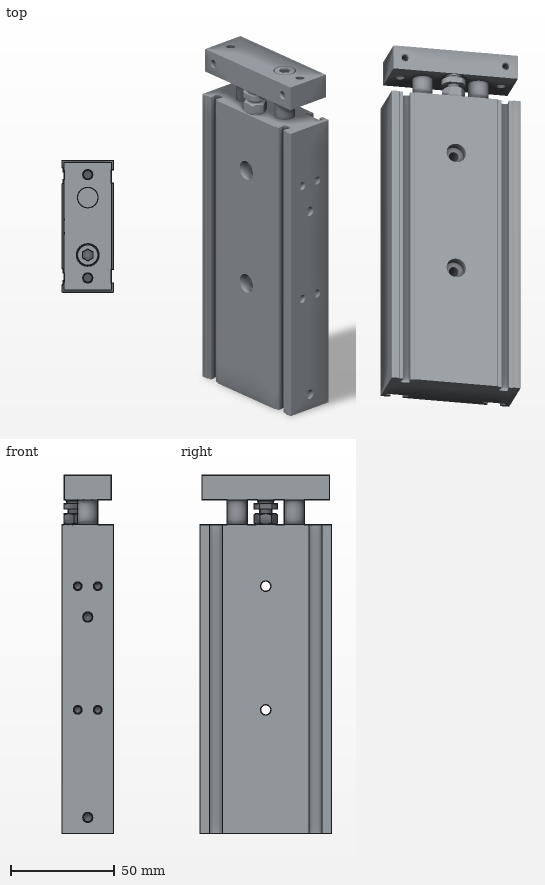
import cadquery as cq
import math

total_height = 174.0
housing_x = 25.0
housing_y = 64.0
housing_top = 150.0
corner_radius = 0.5

plate_x = 23.0
plate_y = 62.0
plate_thickness = 12.0
plate_bottom = total_height - plate_thickness

rod_diameter = 10.0
rod_offset = 14.0
rod_bore_diameter = 11.0
rod_bore_depth = 6.0
hex_socket_flats = 5.0
hex_socket_depth = 5.2

groove_y = 24.5
groove_recess_half_width = 4.0
groove_recess_depth = 0.5
groove_recess_taper = 0.3
groove_mouth_width = 3.7
groove_neck_depth = 3.0
groove_depth = 5.2
groove_width = 4.5
groove_floor_half_width = 0.5

t_slot_y = 24.2
t_slot_mouth_width = 6.5
t_slot_lip = 2.1
t_slot_inner_width = 10.8
t_slot_depth = 3.5

mount_levels = (60.0, 120.0)
mount_diameter = 4.9
mount_bore_diameter = 9.5
mount_bore_depth = 5.2

small_rim, small_core = 4.2, 3.3
large_rim, large_core = 4.9, 4.2
drill_point_angle = 118
side_hole_depth = 6.1
side_hole_x = 4.9
port_levels = (7.8, 105.1)
plate_hole_y = 25.0

adjuster_x = -6.6
nut_flats = 10.0
nut_top = 155.4
nut_face_diameter = 9.5
nut_chamfer_height = 0.78
stud_diameter = 6.0
head_bottom = 157.5
head_top = 160.0
head_diameter = 11.7
collar_step = 161.5
collar_diameter = 8.0
collar_neck_diameter = 7.3


def cylinder(diameter, bottom, top, x, y):
    return cq.Workplane("XY", origin=(x, y, bottom)).circle(diameter / 2).extrude(top - bottom)


def across_corners(flats):
    return flats / math.cos(math.pi / 6)


def hexagon(flats, bottom, top, x, y):
    """Hexagonal prism with two corners pointing along Y."""
    prism = cq.Workplane("XY").polygon(6, across_corners(flats)).extrude(top - bottom)
    return prism.rotate((0, 0, 0), (0, 0, 1), 90).translate((x, y, bottom))


def tapped_hole(rim, core, depth, mouth, inward):
    """Blind drilled hole with a 45 degree rim and a conical bottom, as a cutting tool."""
    rim_depth = (rim - core) / 2
    tip = depth + core / 2 / math.tan(math.radians(drill_point_angle / 2))
    outline = (
        cq.Workplane("XZ")
        .moveTo(0, 0)
        .lineTo(rim / 2, 0)
        .lineTo(core / 2, rim_depth)
        .lineTo(core / 2, depth)
        .lineTo(0, tip)
        .close()
    )
    tool = outline.revolve(360, (0, 0, 0), (0, 1, 0)).val()
    return tool.moved(cq.Plane(origin=mouth, normal=inward).location)


def sensor_groove(y):
    """Shallow flared recess, a narrow neck and a rounded channel along the full height."""
    face = -housing_x / 2
    mouth_half_width = groove_mouth_width / 2
    recess_floor = face + groove_recess_depth
    neck_end = face + groove_neck_depth
    groove_floor = face + groove_depth
    floor_half_width = groove_recess_half_width - groove_recess_taper
    bulge_half_width = groove_width / 2
    bulge_x = (neck_end + groove_floor) / 2
    return (
        cq.Workplane("XY")
        .moveTo(face, y - groove_recess_half_width)
        .lineTo(recess_floor, y - floor_half_width)
        .lineTo(recess_floor, y - mouth_half_width)
        .lineTo(neck_end, y - mouth_half_width)
        .threePointArc((bulge_x, y - bulge_half_width), (groove_floor, y - groove_floor_half_width))
        .lineTo(groove_floor, y + groove_floor_half_width)
        .threePointArc((bulge_x, y + bulge_half_width), (neck_end, y + mouth_half_width))
        .lineTo(recess_floor, y + mouth_half_width)
        .lineTo(recess_floor, y + floor_half_width)
        .lineTo(face, y + groove_recess_half_width)
        .close()
        .extrude(housing_top)
    )


def t_slot(y):
    face = housing_x / 2
    floor = face - t_slot_depth
    lip_inside = face - t_slot_lip
    base = cq.Workplane("XY")
    mouth = base.center((floor + face) / 2, y).rect(t_slot_depth, t_slot_mouth_width).extrude(housing_top)
    inside = (
        base.center((floor + lip_inside) / 2, y)
        .rect(lip_inside - floor, t_slot_inner_width)
        .extrude(housing_top)
    )
    return mouth.union(inside)


def make_housing_block():
    block = cq.Workplane("XY").rect(housing_x, housing_y).extrude(housing_top)
    block = block.edges("|Z").fillet(corner_radius)
    for side in (-1, 1):
        block = block.cut(sensor_groove(side * groove_y)).cut(t_slot(side * t_slot_y))

    for level in mount_levels:
        mount = cq.Workplane("YZ", origin=(-housing_x / 2, 0, level))
        block = block.cut(mount.circle(mount_diameter / 2).extrude(housing_x))
        block = block.cut(mount.circle(mount_bore_diameter / 2).extrude(mount_bore_depth))
        for x in (-side_hole_x, side_hole_x):
            mouth = (x, -housing_y / 2, level)
            block = block.cut(tapped_hole(small_rim, small_core, side_hole_depth, mouth, (0, 1, 0)))

    for level in port_levels:
        mouth = (0, -housing_y / 2, level)
        block = block.cut(tapped_hole(large_rim, large_core, side_hole_depth, mouth, (0, 1, 0)))
    return block


def make_lock_nut():
    """Hexagonal nut on the housing top, with its corners turned off at both ends."""
    rim_radius = across_corners(nut_flats) / 2
    end_radius = nut_face_diameter / 2
    envelope = (
        cq.Workplane("XZ")
        .moveTo(0, housing_top)
        .lineTo(end_radius, housing_top)
        .lineTo(rim_radius, housing_top + nut_chamfer_height)
        .lineTo(rim_radius, nut_top - nut_chamfer_height)
        .lineTo(end_radius, nut_top)
        .lineTo(0, nut_top)
        .close()
        .revolve(360, (0, 0, 0), (0, 1, 0))
        .translate((adjuster_x, 0, 0))
    )
    return hexagon(nut_flats, housing_top, nut_top, adjuster_x, 0).intersect(envelope)


def make_adjuster():
    head = cylinder(head_diameter, head_bottom, head_top, adjuster_x, 0)
    flats = (
        cq.Workplane("XY", origin=(adjuster_x, 0, head_bottom))
        .rect(nut_flats, head_diameter)
        .extrude(head_top - head_bottom)
    )
    stud = cylinder(stud_diameter, housing_top, head_top, adjuster_x, 0)
    neck = cylinder(collar_neck_diameter, head_top, plate_bottom, adjuster_x, 0)
    collar = cylinder(collar_diameter, collar_step, plate_bottom, adjuster_x, 0)
    return make_lock_nut().union(stud).union(head.intersect(flats)).union(neck).union(collar)


def make_housing():
    """Housing with its adjuster and the two rods, whose ends lie flush with the plate top."""
    housing = make_housing_block().union(make_adjuster())
    for side in (-1, 1):
        housing = housing.union(cylinder(rod_diameter, housing_top, total_height, 0, side * rod_offset))
    socket_bottom = total_height - hex_socket_depth
    return housing.cut(hexagon(hex_socket_flats, socket_bottom, total_height, 0, -rod_offset))


def make_end_plate():
    plate = (
        cq.Workplane("XY", origin=(0, 0, plate_bottom))
        .rect(plate_x, plate_y)
        .extrude(plate_thickness)
    )
    for side in (-1, 1):
        plate = plate.cut(cylinder(rod_diameter, plate_bottom, total_height, 0, side * rod_offset))
        top_mouth = (0, side * plate_hole_y, total_height)
        plate = plate.cut(tapped_hole(large_rim, large_core, plate_thickness, top_mouth, (0, 0, -1)))
        side_mouth = (-plate_x / 2, side * plate_hole_y, total_height - plate_thickness / 2)
        plate = plate.cut(tapped_hole(small_rim, small_core, side_hole_depth, side_mouth, (1, 0, 0)))

    bore_bottom = total_height - rod_bore_depth
    return plate.cut(cylinder(rod_bore_diameter, bore_bottom, total_height, 0, -rod_offset))


housing = make_housing()
end_plate = make_end_plate()

result = cq.Compound.makeCompound([housing.val(), end_plate.val()])